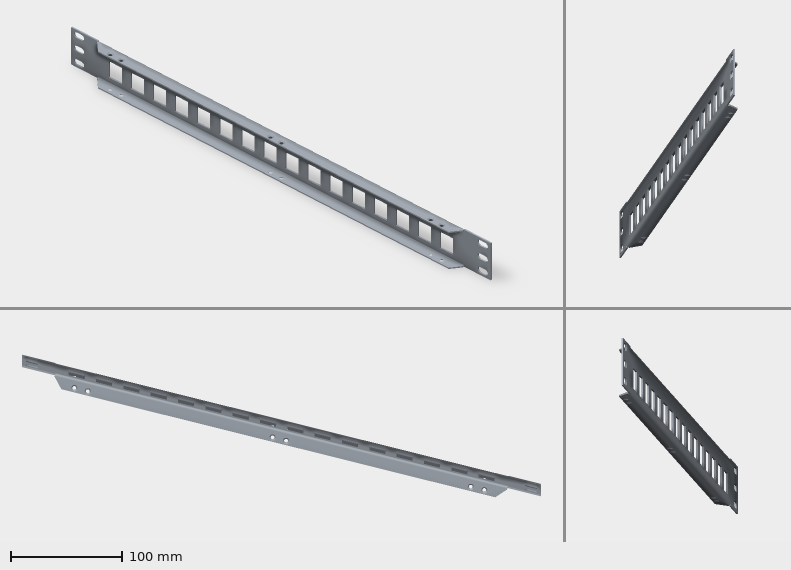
import cadquery as cq

panel_length = 482.5
panel_height = 44.0
depth = 12.5
sheet = 1.5
back_y = depth / 2
front_y = -depth / 2

flange_root_length = 421.0
flange_tip_length = 403.5
taper_start = 3.0
bend_inner_radius = 0.7
bend_outer_radius = bend_inner_radius + sheet

slot_length = 11.5
slot_height = 6.8
slot_x = 232.0
slot_pitch = 16.0

window_count = 16
window_width = 15.0
window_height = 19.5
window_row_span = 381.3
window_pitch = window_row_span / (window_count - 1)
window_z = -5.0

flange_hole_diameter = 3.5
countersink_diameter = 6.0
flange_hole_spacing = 12.5
flange_hole_pair_x = 184.5
flange_hole_setback = 8.5


def face_panel():
    return cq.Workplane("XY").box(panel_length, sheet, panel_height).translate((0, back_y - sheet / 2, 0))


def folded_channel():
    """C-shaped section with rounded bends, its flange ends tapering towards the front."""
    outer = (
        cq.Workplane("XY")
        .box(flange_root_length, depth, panel_height)
        .edges("|X and >Y")
        .fillet(bend_outer_radius)
    )
    inner = (
        cq.Workplane("XY")
        .box(flange_root_length, depth, panel_height - 2 * sheet)
        .translate((0, -sheet, 0))
        .edges("|X and >Y")
        .fillet(bend_inner_radius)
    )
    root_x = flange_root_length / 2
    tip_x = flange_tip_length / 2
    taper_y = back_y - taper_start
    plan = (
        cq.Workplane("XY")
        .polyline([
            (-root_x, back_y),
            (-root_x, taper_y),
            (-tip_x, front_y),
            (tip_x, front_y),
            (root_x, taper_y),
            (root_x, back_y),
        ])
        .close()
        .extrude(panel_height / 2, both=True)
    )
    return outer.cut(inner).intersect(plan)


def bend_clearance():
    """Blocks at both long edges that clear the flat panel where the bends replace it."""
    clearance = cq.Workplane("XY")
    for side in (-1, 1):
        z = side * (panel_height - bend_outer_radius) / 2
        clearance = clearance.union(
            cq.Workplane("XY")
            .box(flange_root_length, depth, bend_outer_radius)
            .translate((0, 0, z))
        )
    return clearance


def mounting_slots():
    points = [(x, row * slot_pitch) for x in (-slot_x, slot_x) for row in (-1, 0, 1)]
    return cq.Workplane("XZ").pushPoints(points).slot2D(slot_length, slot_height).extrude(depth, both=True)


def windows():
    return (
        cq.Workplane("XZ")
        .center(0, window_z)
        .rarray(window_pitch, 5, window_count, 1)
        .rect(window_width, window_height)
        .extrude(depth, both=True)
    )


def drill_flange_holes(part):
    y = back_y - flange_hole_setback
    points = [
        (pair_x + side * flange_hole_spacing / 2, y)
        for pair_x in (-flange_hole_pair_x, 0, flange_hole_pair_x)
        for side in (-1, 1)
    ]
    countersink_depth = (countersink_diameter - flange_hole_diameter) / 2
    for side in (-1, 1):
        outer_face = side * panel_height / 2
        for x, y in points:
            start = cq.Vector(x, y, outer_face)
            inward = cq.Vector(0, 0, -side)
            drill = cq.Solid.makeCylinder(flange_hole_diameter / 2, sheet, start, inward)
            countersink = cq.Solid.makeCone(
                countersink_diameter / 2, flange_hole_diameter / 2, countersink_depth, start, inward
            )
            part = part.cut(drill).cut(countersink)
    return part


body = face_panel().cut(bend_clearance()).union(folded_channel())
result = drill_flange_holes(body.cut(mounting_slots()).cut(windows()))